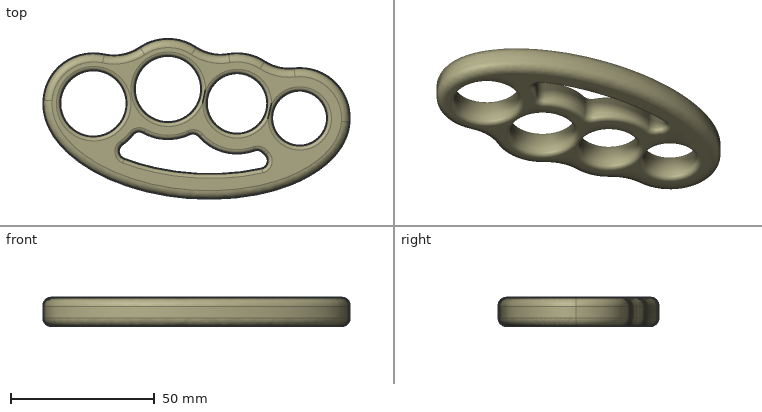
import cadquery as cq
import math

THICKNESS = 10.0
OUTER_ROUND = 3.0
INNER_ROUND = 1.5

RING_CENTRES = [(-35.9, 2.6), (-9.9, 7.6), (14.1, 2.6), (35.9, -2.6)]
HOLE_DIAMETERS = [23.0, 23.0, 21.0, 19.0]
RING_RADIUS = 17.5
VALLEY_RADII = [16.0, 15.5, 15.5]

PALM_DEPTH = 30.6
GRIP_WIDTH = 8.8
SLOT_CORNER_RADIUS = 2.8

FIRST = RING_CENTRES[0]
LAST = RING_CENTRES[-1]
AXIS_ANGLE = math.atan2(LAST[1] - FIRST[1], LAST[0] - FIRST[0])
PALM_HALF_LENGTH = math.dist(FIRST, LAST) / 2 + RING_RADIUS


def axis_end(half_length):
    """Right-hand end of the tilted palm axis, which is centred on the origin."""
    return (half_length * math.cos(AXIS_ANGLE), half_length * math.sin(AXIS_ANGLE))


def point_toward(start, target, distance):
    """Point at a given distance from start on the line to target."""
    share = distance / math.dist(start, target)
    return tuple(s + share * (t - s) for s, t in zip(start, target))


def midpoint(start, end):
    return ((start[0] + end[0]) / 2, (start[1] + end[1]) / 2)


def ring_top(centre):
    return (centre[0], centre[1] + RING_RADIUS)


def valley_centre(left, right, radius):
    """Centre of the valley arc that touches two neighbouring rings from above."""
    span = math.dist(left, right)
    height = math.sqrt((RING_RADIUS + radius) ** 2 - (span / 2) ** 2)
    middle = midpoint(left, right)
    return (
        middle[0] - height * (right[1] - left[1]) / span,
        middle[1] + height * (right[0] - left[0]) / span,
    )


def add_palm_curve(sketch, half_length, depth):
    """Add the lower half ellipse, from the left end of the axis to the right end."""
    return sketch.ellipseArc(
        half_length, depth, 180, 360,
        rotation_angle=math.degrees(AXIS_ANGLE), startAtCurrent=True,
    )


def make_body():
    right_end = axis_end(PALM_HALF_LENGTH)
    left_end = (-right_end[0], -right_end[1])
    outline = cq.Workplane("XY").moveTo(*left_end)
    for left, right, valley_radius in zip(RING_CENTRES, RING_CENTRES[1:], VALLEY_RADII):
        valley = valley_centre(left, right, valley_radius)
        valley_start = point_toward(left, valley, RING_RADIUS)
        valley_end = point_toward(right, valley, RING_RADIUS)
        valley_bottom = point_toward(valley, midpoint(left, right), valley_radius)
        outline = outline.threePointArc(ring_top(left), valley_start)
        outline = outline.threePointArc(valley_bottom, valley_end)
    outline = outline.threePointArc(ring_top(LAST), right_end)
    outline = outline.moveTo(*left_end)
    outline = add_palm_curve(outline, PALM_HALF_LENGTH, PALM_DEPTH)
    wire = cq.Wire.assembleEdges(outline.ctx.pendingEdges)
    body = cq.Workplane("XY").add(wire).toPending().extrude(THICKNESS)
    return body.faces("<Z or >Z").edges().fillet(OUTER_ROUND)


def hole_cutter(centre, diameter):
    """Finger hole with a rounded mouth on both faces."""
    radius = diameter / 2
    mouth = radius + INNER_ROUND
    bend = INNER_ROUND * (1 - math.sqrt(0.5))
    profile = (
        cq.Workplane("XZ")
        .lineTo(mouth, 0)
        .threePointArc((radius + bend, bend), (radius, INNER_ROUND))
        .lineTo(radius, THICKNESS - INNER_ROUND)
        .threePointArc((radius + bend, THICKNESS - bend), (mouth, THICKNESS))
        .lineTo(0, THICKNESS)
        .close()
    )
    return profile.revolve(360, (0, 0, 0), (0, 1, 0)).translate((*centre, 0))


def slot_cutter():
    """Opening between the rings and the palm grip, with rounded corners."""
    half_length = PALM_HALF_LENGTH - GRIP_WIDTH
    right_end = axis_end(half_length)
    slot = cq.Workplane("XY").moveTo(-right_end[0], -right_end[1])
    slot = add_palm_curve(slot, half_length, PALM_DEPTH - GRIP_WIDTH).close().extrude(THICKNESS)
    for ring_centre in RING_CENTRES:
        slot = slot.cut(cq.Workplane("XY").center(*ring_centre).circle(RING_RADIUS).extrude(THICKNESS))
    return slot.edges("not(<Z or >Z)").fillet(SLOT_CORNER_RADIUS)


def cut_slot(body):
    """Cut the slot and round its rim; the body must have no other opening yet."""
    slotted = body.cut(slot_cutter())
    rim_edges = []
    for face in slotted.faces("<Z or >Z").vals():
        for wire in face.innerWires():
            rim_edges.extend(wire.Edges())
    return slotted.newObject(rim_edges).fillet(INNER_ROUND)


result = cut_slot(make_body())
for centre, diameter in zip(RING_CENTRES, HOLE_DIAMETERS):
    result = result.cut(hole_cutter(centre, diameter))